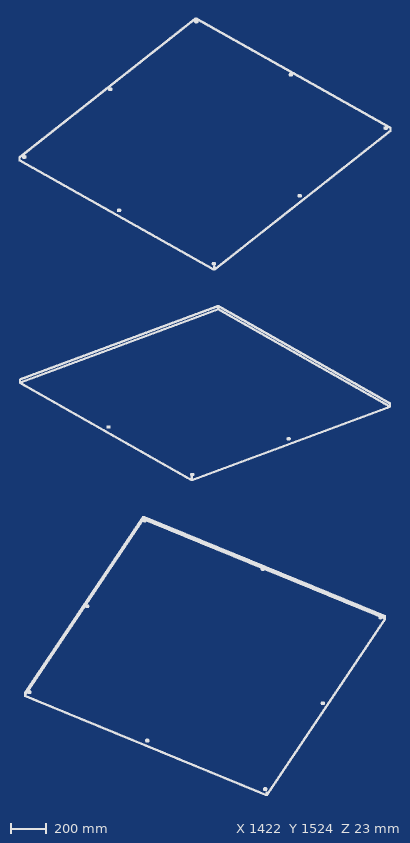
import cadquery as cq

width = 1422.0
length = 1524.0
height = 23.0
sheet_thickness = 3.0
outer_bend_radius = 3.8
inner_bend_radius = outer_bend_radius - sheet_thickness

corner_relief = 4.1

hole_diameter = 14.3
edge_distance = 21.0


def rounded_slab(size_x, size_y, top_z, bend_radius):
    """Slab standing on Z = 0 with its top edges rounded."""
    slab = cq.Workplane("XY").box(size_x, size_y, top_z, centered=(True, True, False))
    return slab.faces(">Z").edges().fillet(bend_radius)


def folded_shell():
    """Panel of constant sheet thickness, open underneath."""
    outside = rounded_slab(width, length, height, outer_bend_radius)
    inside = rounded_slab(
        width - 2 * sheet_thickness,
        length - 2 * sheet_thickness,
        height - sheet_thickness,
        inner_bend_radius,
    )
    return outside.cut(inside)


def corner_reliefs():
    """Square cutters centred on the four outer corners."""
    return (
        cq.Workplane("XY")
        .rect(width, length, forConstruction=True)
        .vertices()
        .rect(2 * corner_relief, 2 * corner_relief)
        .extrude(height)
    )


def fastening_holes():
    """One hole at each corner and one at the middle of each side."""
    hole_x = width / 2 - edge_distance
    hole_y = length / 2 - edge_distance
    centers = [
        (column * hole_x, row * hole_y)
        for column in (-1, 0, 1)
        for row in (-1, 0, 1)
        if (column, row) != (0, 0)
    ]
    return cq.Workplane("XY").pushPoints(centers).circle(hole_diameter / 2).extrude(height)


panel = folded_shell().cut(corner_reliefs()).cut(fastening_holes())

result = panel.translate((0, 0, -height / 2))